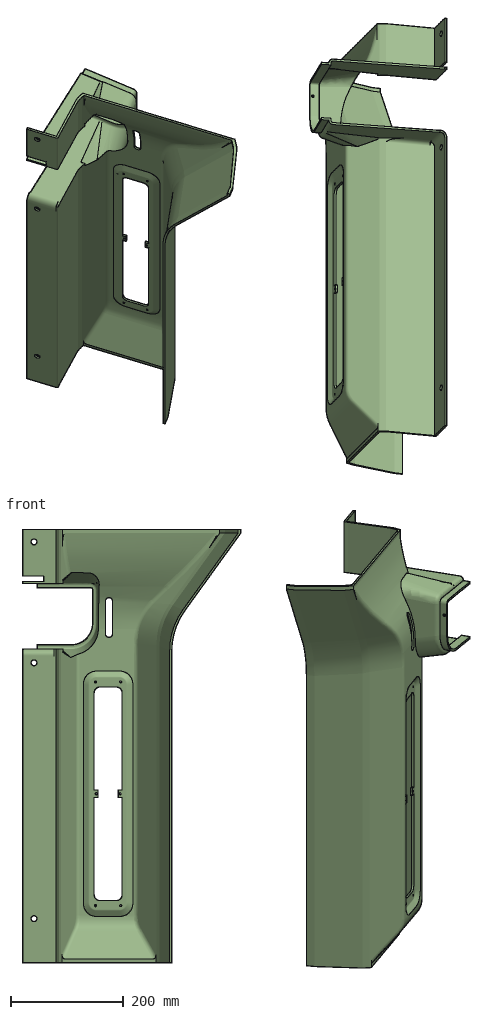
import cadquery as cq
import math

HEIGHT = 770.0
WIDTH = 387.5
SHEET = 4.0
PUNCH_LENGTH = 31.0
TOLERANCE = 0.1

LIP_DEPTH = 15.5
WALL_DEPTH = 99.0
SHOULDER_DEPTH = 111.0
BACK_DEPTH = 164.0

LEFT_FRONT, LEFT_WALL, LEFT_SHOULDER, LEFT_BACK = 55.5, 61.0, 65.0, 95.5
RIGHT_FRONT, RIGHT_WALL, RIGHT_SHOULDER, RIGHT_BACK = 265.0, 247.0, 242.0, 203.0
TOP_RIGHT_WALL, TOP_RIGHT_SHOULDER, TOP_RIGHT_BACK = 364.0, 357.0, 317.0
FLARE_ANGLE = math.radians(35.8)
FLARE_BEND = 40.0
RIDGE_RADIUS = 8.0
RIDGE_MIN_RISE = 8.0

RIM = 7.0
SLOPE_FOOT = 113.0
SILL = 68.5
SILL_TANGENT = 15.5
SWEEP_START = 593.0
SWEEP_MIDDLE = (145.5, 668.5)
SWEEP_TOP = 115.0

PANEL_X = 152.0
PANEL_Z = 300.0
PANEL_BASE, PANEL_BASE_CORNER = (88.0, 436.0), 23.0
PANEL_FACE, PANEL_FACE_CORNER = (68.0, 414.0), 14.0
PANEL_RISE = 6.0
PANEL_EDGE = 3.0
WINDOW, WINDOW_CORNER = (49.0, 379.0), 10.0
TAB_REACH, TAB_HEIGHT = 7.0, 14.0
SCREW_RADIUS = 1.5
SCREW_SPACING = (45.0, 397.5)
TAB_SCREW_SPACING = 42.0
SLOT_X, SLOT_LOW, SLOT_HIGH, SLOT_WIDTH = 153.0, 578.5, 648.5, 12.0

DUCT_TILT = math.radians(7)
DUCT_LOW, DUCT_HIGH = 554.0, 678.0
DUCT_LEFT = 26.0
DUCT_MOUTH_Y = 222.5
DUCT_LENGTH = 100.0
MOUTH_RIGHT, MOUTH_KNEE, MOUTH_SHOULDER = 137.0, 65.0, 68.5
MOUTH_FLARE = 0.1
MOUTH_UPPER_RADIUS = 15.5
MOUTH_ROUND = 8.0
ROOT_RIGHT, ROOT_KNEE, ROOT_SHOULDER = 155.5, 76.0, 105.0
ROOT_UPPER_RADIUS = 27.0
ROOT_FLARE_LOW, ROOT_FLARE_HIGH = 21.0, 25.0
LOWER_RADIUS = 50.0
STRIP_RIGHT = 92.5
STRIP_FILLET = 8.0
LIP_STEP = 8.0
LIP_LENGTH = 13.0
LIP_HOLE_Z, LIP_HOLE_RADIUS = 641.5, 2.0

FLANGE_FRONT = 7.0
FLANGE_HOLE_X = 20.0
FLANGE_HOLES_Z = (78.5, 533.0, 748.0)
FLANGE_HOLE_RADIUS = 5.0
FLANGE_BEND = 12.0
FLANGE_EDGE = 3.0
RELIEF_WIDTH, RELIEF_TOP = 37.0, 687.0


def front_plane(y):
    """Plane across Y whose local axes are X and Z."""
    return cq.Plane(origin=(0, y, 0), xDir=(1, 0, 0), normal=(0, -1, 0))


def channel_outline(y, left, right, top_right, inset):
    """Closed outline at one depth: straight left side, right side flaring at the top."""
    slope = math.tan(FLARE_ANGLE)
    left += inset
    right -= inset
    top_right -= inset / math.cos(FLARE_ANGLE)
    corner = HEIGHT - RIM - (top_right - right) / slope
    bend_end = (right + FLARE_BEND * math.sin(FLARE_ANGLE), corner + FLARE_BEND * math.cos(FLARE_ANGLE))
    return (
        cq.Workplane(front_plane(y))
        .moveTo(left, 0)
        .lineTo(right, 0)
        .lineTo(right, corner - FLARE_BEND)
        .tangentArcPoint(bend_end, relative=False)
        .lineTo(top_right, HEIGHT - RIM)
        .lineTo(top_right, HEIGHT)
        .lineTo(left, HEIGHT)
        .close()
        .val()
    )


def back_limit(inset):
    """Block in front of the back panel, swept along X."""
    back = BACK_DEPTH - inset
    mid_y, mid_z = SWEEP_MIDDLE
    slope_angle = math.atan2(SILL - RIM, BACK_DEPTH - SLOPE_FOOT)
    slope_end_y = back - SILL_TANGENT * math.cos(slope_angle)
    slope_end_z = SILL - SILL_TANGENT * math.sin(slope_angle)
    return (
        cq.Workplane("YZ")
        .moveTo(0, 0)
        .lineTo(SLOPE_FOOT - inset, 0)
        .lineTo(SLOPE_FOOT - inset, RIM)
        .lineTo(slope_end_y, slope_end_z)
        .tangentArcPoint((back, SILL + SILL_TANGENT), relative=False)
        .lineTo(back, SWEEP_START)
        .tangentArcPoint((mid_y - inset, mid_z), relative=False)
        .tangentArcPoint((SWEEP_TOP - inset, HEIGHT - RIM), relative=False)
        .lineTo(SWEEP_TOP - inset, HEIGHT)
        .lineTo(0, HEIGHT)
        .close()
        .extrude(WIDTH)
    )


def ridge_edges(solid, inset):
    """Edges around the back panel behind the shoulder, leaving out seams between smooth faces."""
    shoulder = SHOULDER_DEPTH - inset
    ridges = []
    for edge in solid.edges().vals():
        box = edge.BoundingBox()
        behind = box.ymin > shoulder - TOLERANCE and box.ymax > shoulder + TOLERANCE
        if behind and box.zlen > RIDGE_MIN_RISE:
            ridges.append(edge)
    return ridges


def channel(inset):
    """Solid channel envelope, or its cavity when inset by the wall thickness."""
    stages = (
        (0, LEFT_FRONT, RIGHT_FRONT, WIDTH),
        (LIP_DEPTH, LEFT_FRONT, RIGHT_FRONT, WIDTH),
        (WALL_DEPTH - inset, LEFT_WALL, RIGHT_WALL, TOP_RIGHT_WALL),
        (SHOULDER_DEPTH - inset, LEFT_SHOULDER, RIGHT_SHOULDER, TOP_RIGHT_SHOULDER),
        (BACK_DEPTH + SHEET - inset, LEFT_BACK, RIGHT_BACK, TOP_RIGHT_BACK),
    )
    wires = [channel_outline(*stage, inset) for stage in stages]
    solid = cq.Workplane(cq.Solid.makeLoft(wires, True)).intersect(back_limit(inset))
    return solid.newObject(ridge_edges(solid, inset)).fillet(RIDGE_RADIUS)


def duct_plane(offset):
    """Plane parallel to the duct mouth, offset toward the front; local axes run along the mouth and Z."""
    c, s = math.cos(DUCT_TILT), math.sin(DUCT_TILT)
    return cq.Plane(
        origin=(-s * offset, DUCT_MOUTH_Y - c * offset, 0),
        xDir=(c, -s, 0),
        normal=(-s, -c, 0),
    )


def duct_outline(offset, right, knee, shoulder, flare_low, flare_high, upper_radius, inset):
    """Duct section: flat strips on the left, bevelled from knee to shoulder, rounded on the right."""
    flat_low, flat_high = DUCT_LOW + inset, DUCT_HIGH - inset
    low, high = flat_low - flare_low, flat_high + flare_high
    right -= inset
    upper, lower = upper_radius - inset, LOWER_RADIUS - inset
    return (
        cq.Workplane(duct_plane(offset))
        .moveTo(DUCT_LEFT, flat_low)
        .lineTo(knee, flat_low)
        .lineTo(shoulder, low)
        .lineTo(right - lower, low)
        .radiusArc((right, low + lower), -lower)
        .lineTo(right, high - upper)
        .radiusArc((right - upper, high), -upper)
        .lineTo(shoulder, high)
        .lineTo(knee, flat_high)
        .lineTo(DUCT_LEFT, flat_high)
        .close()
    )


def mouth_outline(offset, inset):
    """Duct section at the mouth, where the bevel has died away."""
    return duct_outline(
        offset,
        MOUTH_RIGHT,
        MOUTH_KNEE,
        MOUTH_SHOULDER,
        MOUTH_FLARE,
        MOUTH_FLARE,
        MOUTH_UPPER_RADIUS,
        inset,
    )


def root_outline(inset):
    """Duct section at the root, flared above and below."""
    return duct_outline(
        DUCT_LENGTH,
        ROOT_RIGHT,
        ROOT_KNEE,
        ROOT_SHOULDER,
        ROOT_FLARE_LOW,
        ROOT_FLARE_HIGH,
        ROOT_UPPER_RADIUS,
        inset,
    )


def duct(inset, mouth_offset):
    """Solid duct envelope with a rounded mouth, or its bore when inset by the sheet thickness."""
    mouth = mouth_outline(mouth_offset, inset).val()
    root = root_outline(inset).val()
    solid = cq.Workplane(cq.Solid.makeLoft([mouth, root], True))
    rim = solid.faces(cq.selectors.CenterNthSelector(-duct_plane(0).zDir, -1)).edges("not <X")
    return rim.fillet(MOUTH_ROUND - inset)


def notch(inset):
    """Straight run of the duct from its root to the front, bounding the strips beside the notch."""
    width = STRIP_RIGHT - DUCT_LEFT
    height = DUCT_HIGH - DUCT_LOW - 2 * inset
    return (
        cq.Workplane(duct_plane(DUCT_LENGTH))
        .center(DUCT_LEFT + width / 2, (DUCT_LOW + DUCT_HIGH) / 2)
        .rect(width, height)
        .extrude(DUCT_MOUTH_Y - DUCT_LENGTH)
    )


def mouth_lip(inset, start):
    """Lip set in from the duct mouth and running on to the rear."""
    outline = mouth_outline(start, LIP_STEP + inset)
    return outline.extrude(-LIP_LENGTH - start - inset)


def box_between(x_limits, y_limits, z_limits):
    """Box given by its limits along each axis."""
    sizes = [high - low for low, high in (x_limits, y_limits, z_limits)]
    corner = (x_limits[0], y_limits[0], z_limits[0])
    return cq.Workplane("XY").box(*sizes, centered=False).translate(corner)


def panel_sketch(size, corner):
    """Rounded rectangle about its own centre."""
    return cq.Sketch().rect(*size).vertices().fillet(corner)


def raised_panel(base_y):
    """Low block with sloping sides standing forward from a given depth."""
    base = panel_sketch(PANEL_BASE, PANEL_BASE_CORNER)
    face = panel_sketch(PANEL_FACE, PANEL_FACE_CORNER).moved(cq.Location(cq.Vector(0, 0, PANEL_RISE)))
    block = cq.Workplane(front_plane(base_y)).center(PANEL_X, PANEL_Z).placeSketch(base, face).loft()
    return block.faces("<Y").edges().fillet(PANEL_EDGE)


def window():
    """Opening through the panel, with a small screw tab left halfway up each side."""
    cutter = cq.Workplane(front_plane(BACK_DEPTH)).center(PANEL_X, PANEL_Z)
    tab_places = [(side * WINDOW[0] / 2, 0) for side in (-1, 1)]
    screw_places = [(side * TAB_SCREW_SPACING / 2, 0) for side in (-1, 1)]
    for side in (-1, 1):
        screw_places += [(side * SCREW_SPACING[0] / 2, end * SCREW_SPACING[1] / 2) for end in (-1, 1)]
    tabs = cutter.pushPoints(tab_places).rect(2 * TAB_REACH, TAB_HEIGHT).extrude(PUNCH_LENGTH)
    screws = cutter.pushPoints(screw_places).circle(SCREW_RADIUS).extrude(PUNCH_LENGTH)
    opening = cutter.placeSketch(panel_sketch(WINDOW, WINDOW_CORNER)).extrude(PUNCH_LENGTH)
    return opening.cut(tabs).union(screws)


def slot():
    """Upright slot through the back panel above the window."""
    return (
        cq.Workplane(front_plane(BACK_DEPTH + SHEET))
        .center(SLOT_X, (SLOT_LOW + SLOT_HIGH) / 2)
        .slot2D(SLOT_HIGH - SLOT_LOW, SLOT_WIDTH, 90)
        .extrude(PUNCH_LENGTH)
    )


def lip_hole():
    """Small hole through the upright side of the duct lip."""
    start = MOUTH_RIGHT - LIP_STEP - PUNCH_LENGTH / 2
    centre = duct_plane(-LIP_LENGTH / 2).toWorldCoords((start, LIP_HOLE_Z))
    return cq.Workplane("YZ", origin=centre).circle(LIP_HOLE_RADIUS).extrude(PUNCH_LENGTH)


def mounting_flange():
    """Flat flange in front of the left wall: bent into the lower strip, relieved above the upper one."""
    width = LEFT_FRONT + SHEET
    back = FLANGE_FRONT + SHEET
    strip_top = DUCT_LOW + SHEET
    bend_end = (FLANGE_FRONT + FLANGE_BEND, strip_top)
    inner_radius = FLANGE_BEND - SHEET
    lower = (
        cq.Workplane("YZ")
        .moveTo(FLANGE_FRONT, 0)
        .lineTo(FLANGE_FRONT, strip_top - FLANGE_BEND)
        .radiusArc(bend_end, FLANGE_BEND)
        .line(0, -SHEET)
        .radiusArc((back, strip_top - FLANGE_BEND), -inner_radius)
        .lineTo(back, 0)
        .close()
        .extrude(width)
    )
    upper = box_between((0, width), (FLANGE_FRONT, back), (DUCT_HIGH - SHEET, HEIGHT))
    relief = box_between((0, RELIEF_WIDTH), (FLANGE_FRONT, back), (DUCT_HIGH, RELIEF_TOP))
    return lower.union(upper.cut(relief))


def flange_holes():
    """Screw holes through the mounting flange."""
    return (
        cq.Workplane(front_plane(FLANGE_FRONT + SHEET))
        .pushPoints([(FLANGE_HOLE_X, z) for z in FLANGE_HOLES_Z])
        .circle(FLANGE_HOLE_RADIUS)
        .extrude(SHEET)
    )


def front_trim():
    """What lies ahead of the flange face, left of its edge, or in the bend up to the lower strip."""
    ahead = box_between((-WIDTH, LEFT_FRONT + LIP_DEPTH), (-BACK_DEPTH, FLANGE_FRONT), (0, HEIGHT))
    beside = box_between((-WIDTH, 0), (-BACK_DEPTH, BACK_DEPTH), (0, HEIGHT))
    lower_bend = box_between(
        (0, LEFT_FRONT), (0, FLANGE_FRONT + FLANGE_BEND), (DUCT_LOW - FLANGE_BEND, DUCT_LOW + SHEET)
    )
    return ahead.union(beside).union(lower_bend)


def strip_corners(solid):
    """Edges where the strips meet the outside of the left wall, ahead of the wall depth."""
    corners = []
    for edge in solid.edges().vals():
        box = edge.BoundingBox()
        level = any(abs(box.center.z - z) + box.zlen < TOLERANCE for z in (DUCT_LOW, DUCT_HIGH))
        along_wall = abs(box.xmin - LEFT_FRONT) < TOLERANCE and abs(box.xmax - LEFT_WALL) < TOLERANCE
        if level and along_wall:
            corners.append(edge)
    return corners


def flange_corners(solid):
    """Upright edges where the flange face turns into the channel."""
    return [
        edge
        for edge in solid.edges("|Z").vals()
        if abs(edge.Center().x - LEFT_FRONT - SHEET) + abs(edge.Center().y - FLANGE_FRONT) < TOLERANCE
    ]


body = channel(0).union(duct(0, 0)).union(notch(0)).union(mouth_lip(0, 0))
body = body.newObject(strip_corners(body)).fillet(STRIP_FILLET)

body = body.cut(channel(SHEET)).cut(duct(SHEET, SHEET)).cut(notch(SHEET))
body = body.cut(mouth_lip(SHEET, 2 * SHEET))

body = body.cut(front_trim()).union(mounting_flange()).cut(flange_holes())
body = body.newObject(flange_corners(body)).fillet(FLANGE_EDGE)
body = body.union(raised_panel(BACK_DEPTH - SHEET)).cut(raised_panel(BACK_DEPTH))
result = body.cut(window()).cut(slot()).cut(lip_hole())